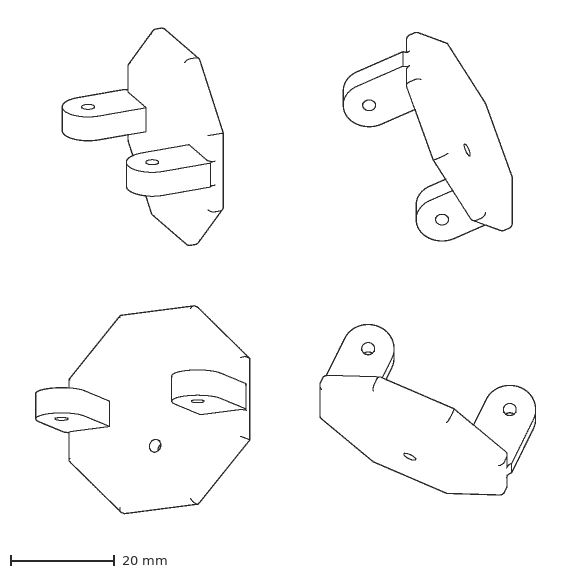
import cadquery as cq
import math

side_count = 8
plate_width = 39.0
plate_thickness = 3.4
edge_radius = 1.2

overall_width = 40.0
lug_width = 10.0
lug_height = 5.0
lug_reach = 10.0
flare_length = 1.0

hole_diameter = 2.5
plate_hole_drop = 7.5

lug_radius = lug_width / 2
lug_offset = (overall_width - lug_width) / 2
side_overhang = (overall_width - plate_width) / 2


def make_plate():
    """Regular octagon with flats on X and Z, rounded along both rims."""
    corner_diameter = plate_width / math.cos(math.pi / side_count)
    return (
        cq.Workplane("XZ")
        .transformed(rotate=(0, 0, 180 / side_count))
        .polygon(side_count, corner_diameter)
        .extrude(-plate_thickness)
        .faces("<Y or >Y")
        .edges()
        .fillet(edge_radius)
    )


def make_lug():
    """Right-hand lug: rounded at the pin end, hollowed at its outer root."""
    inner = lug_offset - lug_radius
    outer = lug_offset + lug_radius
    plate_side = outer - side_overhang
    flare_radius = (flare_length**2 + side_overhang**2) / (2 * side_overhang)
    half_angle = math.atan2(side_overhang, flare_length)
    flare_middle = (
        plate_side + flare_radius * (1 - math.cos(half_angle)),
        flare_length - flare_radius * math.sin(half_angle),
    )
    return (
        cq.Workplane("XY")
        .moveTo(inner, edge_radius)
        .lineTo(inner, -lug_reach)
        .threePointArc((lug_offset, -lug_reach - lug_radius), (outer, -lug_reach))
        .lineTo(outer, 0)
        .threePointArc(flare_middle, (plate_side, flare_length))
        .lineTo(plate_side, edge_radius)
        .close()
        .extrude(lug_height / 2, both=True)
        .cut(
            cq.Workplane("XY")
            .center(lug_offset, -lug_reach)
            .circle(hole_diameter / 2)
            .extrude(lug_height, both=True)
        )
    )


def make_plate_hole():
    """Cutter for the round hole through the plate, below its centre."""
    return (
        cq.Workplane("XZ")
        .center(0, -plate_hole_drop)
        .circle(hole_diameter / 2)
        .extrude(-plate_thickness)
    )


right_lug = make_lug()
left_lug = right_lug.mirror("YZ")
result = make_plate().union(right_lug).union(left_lug).cut(make_plate_hole())